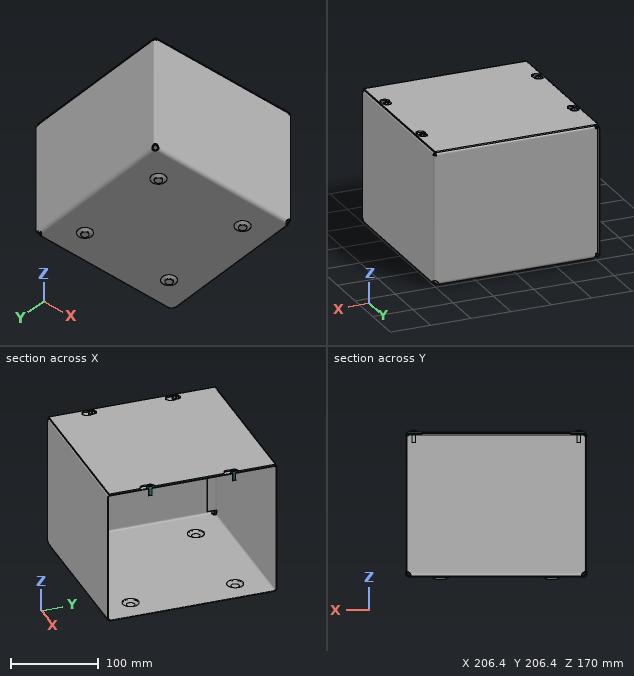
import cadquery as cq
import math

WIDTH = 206.4
TOTAL_HEIGHT = 170.0
SHEET = 1.7
SIDE_BEND = 2.9
FLOOR_BEND = 4.5
FLANGE_WIDTH = 18.5
RELIEF_RADIUS = 6.6

SEAM_GAP = 1.0
TAB_LENGTH = 12.4

DIMPLE_SPACING = 127.1
DIMPLE_BASE_DIAMETER = 19.5
DIMPLE_TIP_DIAMETER = 9.7
DIMPLE_HEIGHT = 2.7

LID_INSET = 1.9

SCREW_SPACING_X = 188.2
SCREW_SPACING_Y = 102.0
HEAD_DIAMETER = 8.9
HEAD_HEIGHT = 3.5
HEAD_EDGE_HEIGHT = 2.0
SHANK_DIAMETER = 4.1
SHANK_LENGTH = 10.3
CROSS_SPAN = 5.8
CROSS_WIDTH = 0.8
CROSS_DEPTH = 1.7
LEFT_CROSS_ANGLE = -30.0

KEYHOLE_DIAMETER = 10.7
SLOT_WIDTH = 9.7
KEYHOLE_OFFSET = 7.0

HALF = WIDTH / 2
BOX_HEIGHT = TOTAL_HEIGHT - DIMPLE_HEIGHT - HEAD_HEIGHT
TAB_FACE = -HALF + SHEET + SEAM_GAP
DIMPLE_PLACES = [(sx * DIMPLE_SPACING / 2, sy * DIMPLE_SPACING / 2) for sx in (-1, 1) for sy in (-1, 1)]
SCREW_PLACES = [(sx * SCREW_SPACING_X / 2, sy * SCREW_SPACING_Y / 2) for sx in (-1, 1) for sy in (-1, 1)]


def block(x_range, y_range, z_range):
    """Axis-aligned block between the given limits."""
    lows, highs = zip(x_range, y_range, z_range)
    sizes = [high - low for low, high in zip(lows, highs)]
    return cq.Workplane("XY").box(*sizes, centered=False).translate(lows)


def bent_block(inset):
    """Block with the bend radii of the box, lying the given depth inside its outer faces."""
    size = WIDTH - 2 * inset
    height = BOX_HEIGHT - 2 * inset

    def blank():
        return cq.Workplane("XY").workplane(offset=inset).rect(size, size).extrude(height)

    def bent_along(axis):
        bent = blank().edges(f"|{axis} and <Z").fillet(FLOOR_BEND - inset)
        return bent.edges(f"|{axis} and >Z").fillet(SIDE_BEND - inset)

    upright = blank().edges("|Z").edges("not(<X and >Y)").fillet(SIDE_BEND - inset)
    return upright.intersect(bent_along("X")).intersect(bent_along("Y"))


def make_shell():
    """Floor, four walls and an inward flange around the open top."""
    opening_half = HALF - FLANGE_WIDTH
    span = (-opening_half, opening_half)
    opening = block(span, span, (BOX_HEIGHT - SIDE_BEND, BOX_HEIGHT))
    return bent_block(0).cut(bent_block(SHEET)).cut(opening)


def add_seam(shell):
    """Open the back left corner: the left wall runs past a tab bent from the back wall."""
    gap_heights = (FLOOR_BEND, BOX_HEIGHT)
    corner_gap = block((-HALF + SHEET, TAB_FACE + SIDE_BEND), (HALF - SIDE_BEND, HALF), gap_heights)
    heights = (RELIEF_RADIUS, BOX_HEIGHT - SIDE_BEND)
    tab = block((TAB_FACE, TAB_FACE + TAB_LENGTH), (HALF - TAB_LENGTH, HALF), heights)
    tab = tab.edges("|Z and <X and >Y").fillet(SIDE_BEND)
    hollow = block((TAB_FACE + SHEET, HALF), (0, HALF - SHEET), heights)
    hollow = hollow.edges("|Z and <X and >Y").fillet(SIDE_BEND - SHEET)
    return shell.cut(corner_gap).union(tab.cut(hollow))


def notch_top_corners(shell):
    """Take out the top corners, where two flange bends would meet."""
    notches = (
        cq.Workplane("XY").workplane(offset=BOX_HEIGHT - SIDE_BEND)
        .rect(WIDTH - SIDE_BEND, WIDTH - SIDE_BEND, forConstruction=True).vertices()
        .rect(SIDE_BEND, SIDE_BEND).extrude(SIDE_BEND)
    )
    return shell.cut(notches)


def lower_relief(x_side, y_side):
    """Cutter for one lower corner, round about the corner when seen along X, Y or Z."""
    disks = [
        cq.Workplane(plane).circle(RELIEF_RADIUS).extrude(RELIEF_RADIUS, both=True)
        for plane in ("XY", "YZ", "XZ")
    ]
    scoop = disks[0].intersect(disks[1]).intersect(disks[2]).translate((x_side * HALF, y_side * HALF, 0))
    if x_side > 0 or y_side < 0:
        return scoop
    left_wall = block((-WIDTH, -HALF + SHEET), (0, WIDTH), (-HALF, HALF))
    bend_end = block((-HALF, -HALF + SHEET), (HALF - SIDE_BEND, HALF), (0, FLOOR_BEND))
    return scoop.cut(left_wall).union(bend_end)


def cut_lower_reliefs(shell):
    """Open the four lower corners, where the floor bends meet the upright bends."""
    for x_side in (-1, 1):
        for y_side in (-1, 1):
            shell = shell.cut(lower_relief(x_side, y_side))
    return shell


def dimple_cone(base_z):
    """Downward cone frustum whose wide end lies at the given height."""
    return (
        cq.Workplane("XY").workplane(offset=base_z).circle(DIMPLE_BASE_DIAMETER / 2)
        .workplane(offset=-DIMPLE_HEIGHT).circle(DIMPLE_TIP_DIAMETER / 2).loft()
    )


def press_dimples(shell):
    """Press hollow standoff dimples down out of the floor."""
    for x, y in DIMPLE_PLACES:
        shell = shell.union(dimple_cone(0).translate((x, y, 0)))
        shell = shell.cut(dimple_cone(SHEET).translate((x, y, 0)))
    return shell


def make_box():
    """Folded sheet metal box with screw holes in its top flange."""
    box = press_dimples(cut_lower_reliefs(notch_top_corners(add_seam(make_shell()))))
    holes = (
        cq.Workplane("XY").workplane(offset=BOX_HEIGHT - SHEET)
        .pushPoints(SCREW_PLACES).circle(SHANK_DIAMETER / 2).extrude(SHEET)
    )
    return box.cut(holes)


def make_lid():
    """Flat lid with four keyholes that drop over the screw heads."""
    size = WIDTH - 2 * LID_INSET
    lid = cq.Workplane("XY").workplane(offset=BOX_HEIGHT).rect(size, size).extrude(SHEET)
    base = cq.Workplane("XY").workplane(offset=BOX_HEIGHT)
    for x, y in SCREW_PLACES:
        entry_y = y - KEYHOLE_OFFSET
        lid = lid.cut(base.center(x, entry_y).circle(KEYHOLE_DIAMETER / 2).extrude(SHEET))
        lid = lid.cut(base.center(x, y).circle(SLOT_WIDTH / 2).extrude(SHEET))
        lid = lid.cut(base.center(x, (y + entry_y) / 2).rect(SLOT_WIDTH, KEYHOLE_OFFSET).extrude(SHEET))
    return lid


def make_screw(x, y):
    """Domed cross-recess screw whose head rests on the flange."""
    head_radius = HEAD_DIAMETER / 2
    dome_height = HEAD_HEIGHT - HEAD_EDGE_HEIGHT
    dome_radius = (head_radius**2 + dome_height**2) / (2 * dome_height)
    half_angle = math.asin(head_radius / dome_radius) / 2
    dome_middle = (
        dome_radius * math.sin(half_angle),
        HEAD_HEIGHT - dome_radius * (1 - math.cos(half_angle)),
    )
    shank_radius = SHANK_DIAMETER / 2
    screw = (
        cq.Workplane("XZ").moveTo(0, -SHANK_LENGTH).lineTo(shank_radius, -SHANK_LENGTH)
        .lineTo(shank_radius, 0).lineTo(head_radius, 0).lineTo(head_radius, HEAD_EDGE_HEIGHT)
        .threePointArc(dome_middle, (0, HEAD_HEIGHT)).close()
        .revolve(360, (0, 0, 0), (0, 1, 0))
    )
    angle = LEFT_CROSS_ANGLE if x < 0 else 0
    for turn in (angle, angle + 90):
        slot = cq.Workplane("XY").workplane(offset=HEAD_HEIGHT).transformed(rotate=(0, 0, turn))
        screw = screw.cut(slot.rect(CROSS_SPAN, CROSS_WIDTH).extrude(-CROSS_DEPTH))
    return screw.translate((x, y, BOX_HEIGHT))


box = make_box()
lid = make_lid()
screws = [make_screw(x, y) for x, y in SCREW_PLACES]

result = cq.Compound.makeCompound([box.val(), lid.val(), *[screw.val() for screw in screws]])